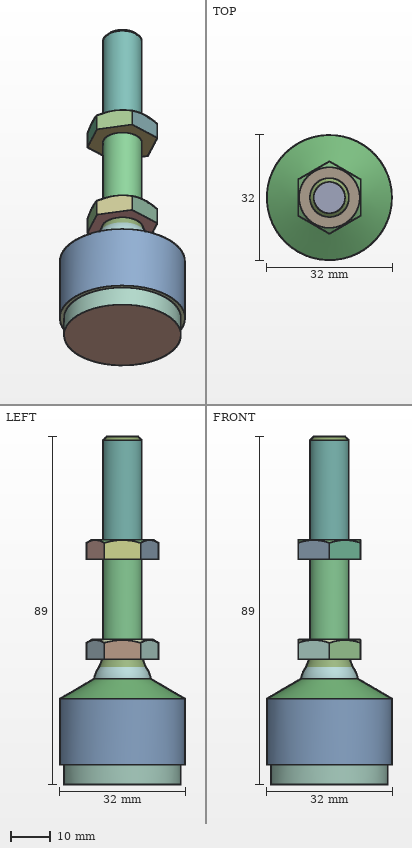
import cadquery as cq
import math

total_height = 89.0
foot_radius = 16.0
pad_radius = 14.95
pad_height = 5.1
shoulder_z = 22.0
foot_top_z = 27.1

ball_radius = 7.5
ball_center_z = 25.6
neck_base_z = 30.1
neck_top_radius = 5.25

rod_radius = 5.0
rod_chamfer = 1.0

hex_across_flats = 16.0
hex_height = 5.1
hex_face_radius = 7.7
hex_chamfer_angle = 30.0
lower_hex_z = 32.0
upper_hex_z = 57.6

hex_corner_radius = hex_across_flats / math.sqrt(3)
hex_corner_drop = (hex_corner_radius - hex_face_radius) * math.tan(math.radians(hex_chamfer_angle))


def ball_section_radius(z):
    """Radius of the ball's horizontal section at height z."""
    return math.sqrt(ball_radius**2 - (z - ball_center_z) ** 2)


def revolve_profile(points):
    """Turn a closed (radius, height) outline about the Z axis."""
    return cq.Workplane("XZ").polyline(points).close().revolve(360, (0, 0), (0, 1))


def make_ball():
    return cq.Workplane("XY").sphere(ball_radius).translate((0, 0, ball_center_z))


def make_hexagon(base_z):
    """Hexagon with corners on Y and its upper corners turned to a cone."""
    top_z = base_z + hex_height
    prism = (
        cq.Workplane("XY", origin=(0, 0, base_z))
        .polygon(6, 2 * hex_corner_radius)
        .extrude(hex_height)
        .rotate((0, 0, 0), (0, 0, 1), 30)
    )
    turned_blank = revolve_profile([
        (0, base_z),
        (hex_corner_radius, base_z),
        (hex_corner_radius, top_z - hex_corner_drop),
        (hex_face_radius, top_z),
        (0, top_z),
    ])
    return prism.intersect(turned_blank)


def make_foot():
    """Stepped round foot with a conical top and a spherical socket."""
    blank = revolve_profile([
        (0, 0),
        (pad_radius, 0),
        (pad_radius, pad_height),
        (foot_radius, pad_height),
        (foot_radius, shoulder_z),
        (ball_section_radius(foot_top_z), foot_top_z),
        (0, foot_top_z),
    ])
    return blank.cut(make_ball())


def make_stud():
    """Ball, tapered neck, rod and both hexagons in one piece."""
    neck_and_rod = revolve_profile([
        (0, ball_center_z),
        (ball_section_radius(neck_base_z), neck_base_z),
        (neck_top_radius, lower_hex_z),
        (rod_radius, lower_hex_z),
        (rod_radius, total_height - rod_chamfer),
        (rod_radius - rod_chamfer, total_height),
        (0, total_height),
    ])
    stud = make_ball().union(neck_and_rod)
    for base_z in (lower_hex_z, upper_hex_z):
        stud = stud.union(make_hexagon(base_z))
    return stud


foot = make_foot()
stud = make_stud()

result = cq.Compound.makeCompound([foot.val(), stud.val()])